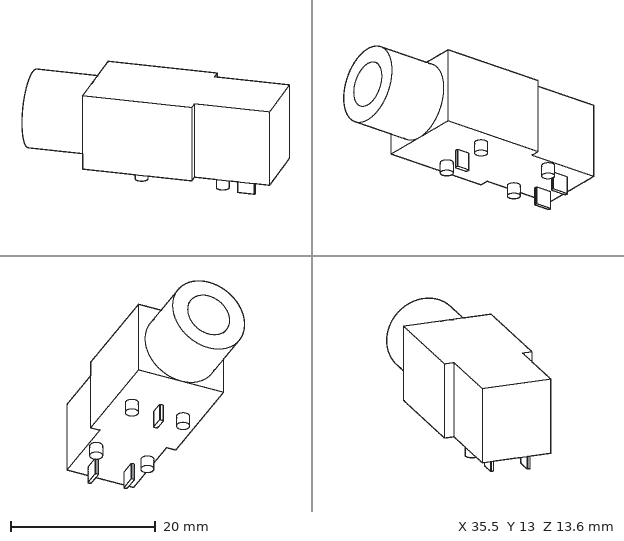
import cadquery as cq

total_length = 35.5
housing_height = 11.0
barrel_length = 9.0
barrel_diameter = housing_height
bore_diameter = 6.4
bore_depth = barrel_length
body_end = 24.7
body_width = 13.0
rear_width = 10.2

peg_diameter = 1.8
peg_length = 1.6
peg_positions_x = (16.75, 28.45)
peg_offset_y = 3.9

terminal_drop = 2.6
terminal_chamfer = 0.1
center_terminal_start = 15.4
center_terminal_length = 2.05
center_terminal_thickness = 0.6
side_terminal_length = 2.55
side_terminal_thickness = 0.5
side_terminal_offset_y = 2.52
near_terminal_start = 30.18
far_terminal_end = 33.7

underside = -housing_height / 2


def housing_block(start, end, width):
    """Full-height block centred on the barrel axis."""
    block = cq.Workplane("XY").box(end - start, width, housing_height, centered=(False, True, True))
    return block.translate((start, 0, 0))


def terminal(start, length, thickness, y):
    """Flat blade with chamfered long edges, hanging from the underside."""
    blade = cq.Workplane("XY").box(length, thickness, terminal_drop, centered=(False, True, False))
    blade = blade.edges("|Z").chamfer(terminal_chamfer)
    return blade.translate((start, y, underside - terminal_drop))


barrel = cq.Workplane("YZ").circle(barrel_diameter / 2).extrude(barrel_length)
bore = cq.Workplane("YZ").circle(bore_diameter / 2).extrude(bore_depth)
body = housing_block(barrel_length, body_end, body_width)
rear_block = housing_block(body_end, total_length, rear_width)
housing = body.union(rear_block).union(barrel).cut(bore)

peg_points = [(x, side * peg_offset_y) for x in peg_positions_x for side in (-1, 1)]
pegs = (
    cq.Workplane("XY", origin=(0, 0, underside))
    .pushPoints(peg_points)
    .circle(peg_diameter / 2)
    .extrude(-peg_length)
)

far_terminal_start = far_terminal_end - side_terminal_length
center_terminal = terminal(center_terminal_start, center_terminal_length, center_terminal_thickness, 0)
near_terminal = terminal(
    near_terminal_start, side_terminal_length, side_terminal_thickness, -side_terminal_offset_y
)
far_terminal = terminal(
    far_terminal_start, side_terminal_length, side_terminal_thickness, side_terminal_offset_y
)

result = housing.union(pegs).union(center_terminal).union(near_terminal).union(far_terminal)